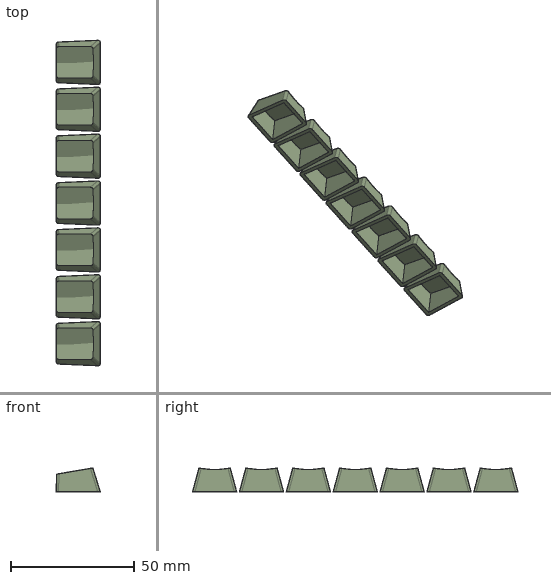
import cadquery as cq
import math

CAP_COUNT = 7
ROW_LENGTH = 132.3

CAP_WIDTH = 18.0
FRONT_HEIGHT = 7.3
BACK_HEIGHT = 9.8
FRONT_LEAN = 0.1
BACK_LEAN = 3.0

RIM_DEPTH = 12.8
BASE_DEPTH = 18.1
DISH_DEPTH = 0.7
CORNER_RADIUS = 1.0
WALL = 1.5

TOP_SLOPE = (BACK_HEIGHT - FRONT_HEIGHT) / (CAP_WIDTH - FRONT_LEAN - BACK_LEAN)
TOP_ANGLE = math.atan(TOP_SLOPE)
RIM_HEIGHT_AT_ORIGIN = FRONT_HEIGHT - FRONT_LEAN * TOP_SLOPE
RIM_TO_BACK_BASE = (RIM_HEIGHT_AT_ORIGIN + CAP_WIDTH * TOP_SLOPE) * math.cos(TOP_ANGLE)


def base_and_end_faces():
    """Wedge along Y, taller than the cap, with the cap's base, front face and back face."""
    wedge_height = 2 * BACK_HEIGHT
    front_top_x = FRONT_LEAN * wedge_height / FRONT_HEIGHT
    back_top_x = CAP_WIDTH - BACK_LEAN * wedge_height / BACK_HEIGHT
    return (
        cq.Workplane("XZ")
        .polyline([(0, 0), (CAP_WIDTH, 0), (back_top_x, wedge_height), (front_top_x, wedge_height)])
        .close()
        .extrude(BASE_DEPTH, both=True)
    )


def dished_top_and_sides():
    """Bar parallel to the sloping top, with a concave upper face and drafted sides."""
    across_slope = cq.Plane(
        origin=(0, 0, RIM_HEIGHT_AT_ORIGIN),
        xDir=(0, 1, 0),
        normal=(math.cos(TOP_ANGLE), 0, math.sin(TOP_ANGLE)),
    )
    return (
        cq.Workplane(across_slope)
        .moveTo(-RIM_DEPTH / 2, 0)
        .threePointArc((0, -DISH_DEPTH), (RIM_DEPTH / 2, 0))
        .lineTo(BASE_DEPTH / 2, -RIM_TO_BACK_BASE)
        .lineTo(-BASE_DEPTH / 2, -RIM_TO_BACK_BASE)
        .close()
        .extrude(2 * CAP_WIDTH, both=True)
    )


def make_keycap():
    """Hollow keycap, open at the base and centred on Y = 0."""
    block = base_and_end_faces().intersect(dished_top_and_sides())
    rounded = block.edges("%LINE").edges("not (<Z or >Z)").fillet(CORNER_RADIUS)
    return rounded.faces("<Z").shell(-WALL)


keycap = make_keycap()
cap_depth = keycap.val().BoundingBox().ylen
pitch = (ROW_LENGTH - cap_depth) / (CAP_COUNT - 1)
first_center_y = (cap_depth - ROW_LENGTH) / 2
keycaps = [keycap.translate((0, first_center_y + index * pitch, 0)) for index in range(CAP_COUNT)]

result = cq.Compound.makeCompound([cap.val() for cap in keycaps])